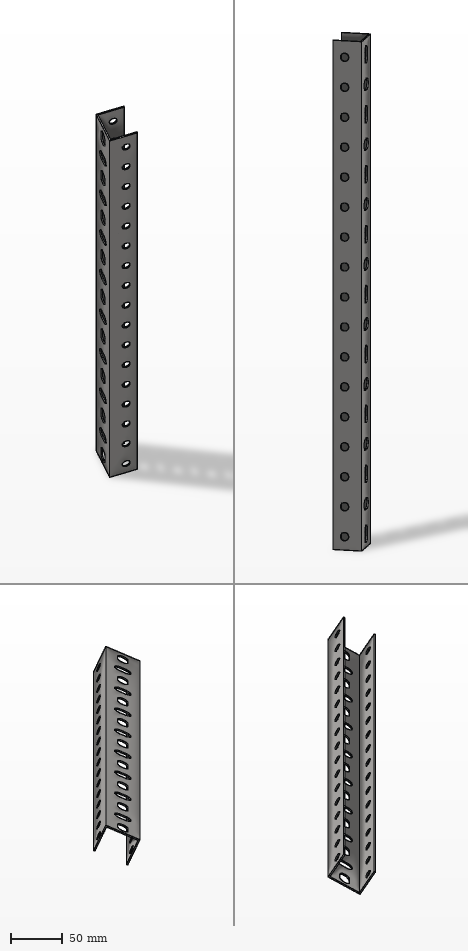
import cadquery as cq

length = 510.0
width = 36.5
depth = 29.0
thickness = 1.5

station_count = 17
pitch = length / station_count
station_drop = 1.5
first_station = pitch / 2 - station_drop
slot_length = 17.5
slot_width = 11.0
flange_hole_diameter = 8.0
flange_hole_to_free_edge = 11.5

stations = [first_station + i * pitch for i in range(station_count)]


def channel():
    """U-shaped bar with its web on the -Y side, standing on Z = 0."""
    outer = cq.Workplane("XY").box(width, depth, length, centered=(True, False, False))
    inside = (
        cq.Workplane("XY")
        .box(width - 2 * thickness, depth - thickness, length, centered=(True, False, False))
        .translate((0, thickness, 0))
    )
    return outer.cut(inside)


def web_slots(heights, angle):
    """Slots through the web; angle 0 lies along X, 90 along Z."""
    return (
        cq.Workplane("XZ")
        .pushPoints([(0, z) for z in heights])
        .slot2D(slot_length, slot_width, angle)
        .extrude(-thickness)
    )


def flange_holes():
    """Round holes passing through both flanges."""
    hole_y = depth - flange_hole_to_free_edge
    return (
        cq.Workplane("YZ")
        .pushPoints([(hole_y, z) for z in stations])
        .circle(flange_hole_diameter / 2)
        .extrude(width / 2, both=True)
    )


upright_slots = web_slots(stations[0::2], 90)
crosswise_slots = web_slots(stations[1::2], 0)

result = channel().cut(upright_slots).cut(crosswise_slots).cut(flange_holes())